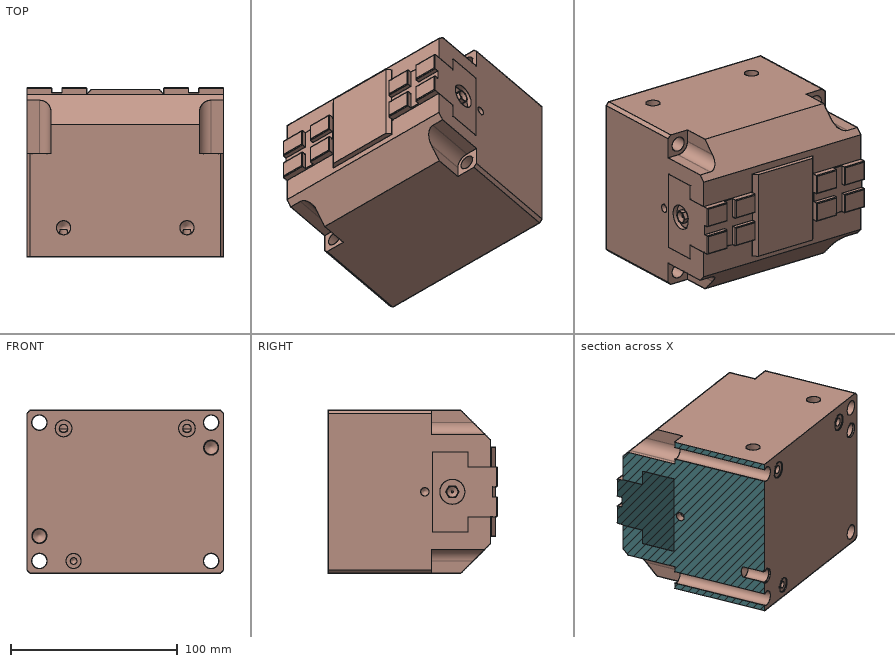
import cadquery as cq
import math


WIDTH = 118.0
HEIGHT = 98.0
BODY_DEPTH = 97.5
FLANGE_DEPTH = 62.0
EDGE_CHAMFER = 2.0
NOSE_CHAMFER = 18.0

SCREW_X = 51.5
SCREW_Z = 41.5
SCREW_DIAMETER = 9.0
NOTCH_WIDTH = 14.5
NOTCH_HEIGHT = 14.5
NOTCH_RADIUS = 7.0

DRILL_POINT_ANGLE = 118.0
LOCATING_DIAMETER = 8.3
LOCATING_MOUTH_DIAMETER = 9.0
LOCATING_MOUTH_DEPTH = 1.0
LOCATING_DEPTH = 15.0
LOCATING_Z = 26.5
AIR_X = 37.0
AIR_INLET_Y = 17.5
AIR_INLET_DIAMETER = 8.5
AIR_INLET_DEPTH = 11.3
AIR_PORT_Z = 38.0
AIR_PORT_DIAMETER = 5.0
AIR_PORT_DEPTH = 16.5
SEAL_DEPTH = 0.7
AIR_SEAL_DIAMETER = 10.0
PURGE_X = -31.0
PURGE_DIAMETER = 4.0
PURGE_DEPTH = 12.0
PURGE_SEAL_DIAMETER = 9.0
SIDE_HOLE_Y = 58.0
SIDE_HOLE_DIAMETER = 5.0
SIDE_HOLE_DEPTH = 10.0

JAW_LENGTH = 36.0
JAW_TOP_Y = 101.5
JAW_NECK_HEIGHT = 30.0
JAW_FOOT_HEIGHT = 48.0
JAW_FOOT_Y = 62.5
JAW_SHOULDER_Y = 84.0
JAW_GROOVE_WIDTH = 6.0
JAW_GROOVE_DEPTH = 3.0
JAW_TOP_CHAMFER = 0.5

NIPPLE_Y = 74.5
NIPPLE_RECESS_DIAMETER = 15.0
NIPPLE_RECESS_DEPTH = 3.0
NIPPLE_ACROSS_FLATS = 7.0
NIPPLE_HEIGHT = 3.0
NIPPLE_CUP_DIAMETER = 6.6
NIPPLE_CUP_DEPTH = 1.5
NIPPLE_BORE_DIAMETER = 1.2
NIPPLE_BORE_DEPTH = 4.0

COVER_WIDTH = 45.5
COVER_HEIGHT = 53.5
COVER_THICKNESS = 3.0
COVER_CHAMFER = 2.5

SIDES = (-1, 1)


def box(x_range, y_range, z_range):
    """Axis-aligned box between the given limits."""
    size = [high - low for low, high in (x_range, y_range, z_range)]
    corner = (x_range[0], y_range[0], z_range[0])
    return cq.Workplane("XY").box(*size, centered=False).translate(corner)


def cylinder(diameter, depth, start, direction):
    """Cylinder running from the start point along the direction."""
    return cq.Workplane(cq.Solid.makeCylinder(diameter / 2, depth, cq.Vector(*start), cq.Vector(*direction)))


def cone(start_diameter, end_diameter, depth, start, direction):
    """Cone running from the start point along the direction."""
    solid = cq.Solid.makeCone(
        start_diameter / 2, end_diameter / 2, depth, cq.Vector(*start), cq.Vector(*direction)
    )
    return cq.Workplane(solid)


def drilled_hole(diameter, depth, start, direction):
    """Blind hole with a conical drill point beyond its full-diameter depth."""
    point_depth = diameter / 2 / math.tan(math.radians(DRILL_POINT_ANGLE / 2))
    bottom = cq.Vector(*start) + cq.Vector(*direction) * depth
    bore = cylinder(diameter, depth, start, direction)
    return bore.union(cone(diameter, 0, point_depth, bottom.toTuple(), direction))


def jaw_blank(side):
    """T-section bar; also the shape of the pocket that holds the jaw."""
    outer_x = side * WIDTH / 2
    x_range = sorted((outer_x, outer_x - side * JAW_LENGTH))
    foot = box(x_range, (JAW_FOOT_Y, JAW_SHOULDER_Y), (-JAW_FOOT_HEIGHT / 2, JAW_FOOT_HEIGHT / 2))
    neck = box(x_range, (JAW_SHOULDER_Y, JAW_TOP_Y), (-JAW_NECK_HEIGHT / 2, JAW_NECK_HEIGHT / 2))
    return foot.union(neck)


def corner_notch(side_x, side_z):
    """Rear corner cut-out with a concave round around the screw head."""
    inner_x = WIDTH / 2 - NOTCH_WIDTH
    inner_z = HEIGHT / 2 - NOTCH_HEIGHT
    notch = box((inner_x, WIDTH / 2), (FLANGE_DEPTH, BODY_DEPTH), (inner_z, HEIGHT / 2))
    notch = notch.edges("|Y and <X and <Z").fillet(NOTCH_RADIUS)
    if side_x < 0:
        notch = notch.mirror("YZ")
    if side_z < 0:
        notch = notch.mirror("XY")
    return notch


def make_housing():
    body = box((-WIDTH / 2, WIDTH / 2), (0, BODY_DEPTH), (-HEIGHT / 2, HEIGHT / 2))
    body = body.faces(">Y").edges("|X").chamfer(NOSE_CHAMFER)
    body = body.edges("|Y").chamfer(EDGE_CHAMFER)

    for side_x in SIDES:
        for side_z in SIDES:
            body = body.cut(corner_notch(side_x, side_z))
            screw_start = (side_x * SCREW_X, 0, side_z * SCREW_Z)
            body = body.cut(cylinder(SCREW_DIAMETER, FLANGE_DEPTH, screw_start, (0, 1, 0)))

    for side in SIDES:
        body = body.cut(jaw_blank(side))

        locating_start = (side * SCREW_X, 0, side * LOCATING_Z)
        body = body.cut(drilled_hole(LOCATING_DIAMETER, LOCATING_DEPTH, locating_start, (0, 1, 0)))
        body = body.cut(cylinder(LOCATING_MOUTH_DIAMETER, LOCATING_MOUTH_DEPTH, locating_start, (0, 1, 0)))

        inlet_start = (side * AIR_X, AIR_INLET_Y, HEIGHT / 2)
        port_start = (side * AIR_X, 0, AIR_PORT_Z)
        body = body.cut(drilled_hole(AIR_INLET_DIAMETER, AIR_INLET_DEPTH, inlet_start, (0, 0, -1)))
        body = body.cut(cylinder(AIR_PORT_DIAMETER, AIR_PORT_DEPTH, port_start, (0, 1, 0)))
        body = body.cut(cylinder(AIR_SEAL_DIAMETER, SEAL_DEPTH, port_start, (0, 1, 0)))

        side_start = (side * WIDTH / 2, SIDE_HOLE_Y, 0)
        body = body.cut(drilled_hole(SIDE_HOLE_DIAMETER, SIDE_HOLE_DEPTH, side_start, (-side, 0, 0)))

    purge_start = (PURGE_X, 0, -SCREW_Z)
    body = body.cut(drilled_hole(PURGE_DIAMETER, PURGE_DEPTH, purge_start, (0, 1, 0)))
    return body.cut(cylinder(PURGE_SEAL_DIAMETER, SEAL_DEPTH, purge_start, (0, 1, 0)))


def add_nipple(jaw, side):
    """Sink the round recess and leave a hexagonal nipple standing on its floor."""
    outer_x = side * WIDTH / 2
    floor_x = outer_x - side * NIPPLE_RECESS_DEPTH
    tip_x = floor_x + side * NIPPLE_HEIGHT
    inward = (-side, 0, 0)
    across_corners = NIPPLE_ACROSS_FLATS / math.cos(math.radians(30))

    jaw = jaw.cut(cylinder(NIPPLE_RECESS_DIAMETER, NIPPLE_RECESS_DEPTH, (outer_x, NIPPLE_Y, 0), inward))
    hexagon = (
        cq.Workplane("YZ", origin=(floor_x, NIPPLE_Y, 0))
        .polygon(6, across_corners)
        .extrude(side * NIPPLE_HEIGHT)
    )
    tip = (tip_x, NIPPLE_Y, 0)
    cup = cone(NIPPLE_CUP_DIAMETER, NIPPLE_BORE_DIAMETER, NIPPLE_CUP_DEPTH, tip, inward)
    bore = cylinder(NIPPLE_BORE_DIAMETER, NIPPLE_BORE_DEPTH, tip, inward)
    return jaw.union(hexagon).cut(cup).cut(bore)


def make_jaw(side):
    jaw = jaw_blank(side)
    groove_y = (JAW_TOP_Y - JAW_GROOVE_DEPTH, JAW_TOP_Y)
    half_groove = JAW_GROOVE_WIDTH / 2
    half_neck = JAW_NECK_HEIGHT / 2
    outer_x = side * WIDTH / 2
    inner_x = outer_x - side * JAW_LENGTH
    middle_x = (outer_x + inner_x) / 2

    jaw = jaw.cut(box((middle_x - half_groove, middle_x + half_groove), groove_y, (-half_neck, half_neck)))
    jaw = jaw.cut(box(sorted((outer_x, inner_x)), groove_y, (-half_groove, half_groove)))
    jaw = jaw.faces(">Y").edges().chamfer(JAW_TOP_CHAMFER)
    return add_nipple(jaw, side)


def make_cover():
    """Plate on the jaw face whose left and right edges are chamfered."""
    top_y = BODY_DEPTH + COVER_THICKNESS
    x_range = (-COVER_WIDTH / 2, COVER_WIDTH / 2)
    plate = box(x_range, (BODY_DEPTH, top_y), (-COVER_HEIGHT / 2, COVER_HEIGHT / 2))
    return plate.faces(">Y").edges("|Z").chamfer(COVER_CHAMFER)


housing = make_housing()
cover = make_cover()
jaws = [make_jaw(side) for side in SIDES]
result = cq.Compound.makeCompound([housing.val(), cover.val(), *[jaw.val() for jaw in jaws]])